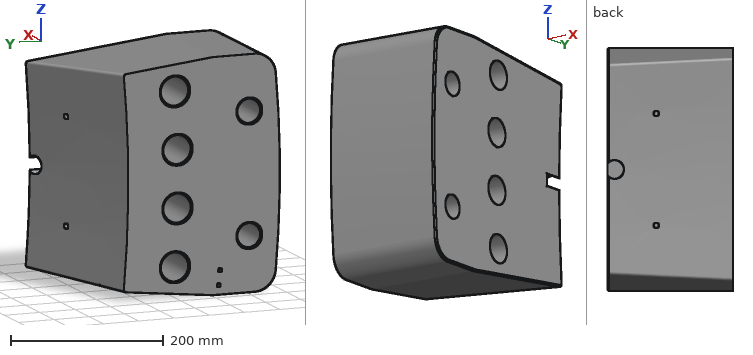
import cadquery as cq
import math

thickness = 165.0
height = 320.0
half_height = height / 2

front_radius = 1504.0
corner_radius = 30.0

bend_y = 95.5
taper_angle = 6.2
bend_radius = 36.8

back_y = 215.0
back_slope = 24.5
back_radius = 1792.0
back_edge_fillet = 3.5

edge_chamfer = 2.2
mouth_chamfer = 2.0

large_hole_diameter = 39.0
large_hole_pitch = 78.7
large_hole_inner_y = 145.3
large_hole_outer_y = 148.8
small_hole_diameter = 32.5
small_hole_spacing = 167.0
small_hole_y = 43.5

pin_diameter = 5.0
pin_depth = 9.5
pin_point_angle = 118.0
pin_places = [(84.8, -127.0), (86.7, -147.2)]

pocket_diameter = 24.5
pocket_depth = 25.5
pocket_x = 156.0
screw_hole_diameter = 7.0
screw_hole_depth = 16.0
screw_hole_spacing = 147.2
screw_hole_y = 262.7

slope = math.radians(back_slope)
slope_direction = cq.Vector(math.cos(slope), math.sin(slope), 0)
inward_direction = cq.Vector(math.sin(slope), -math.cos(slope), 0)


def arc_rise(radius, z):
    """How far an arc bulging towards -Y has moved to +Y at height z."""
    return radius - math.sqrt(radius**2 - z**2)


def back_face_x(y, z):
    """X of the hollow back face at a given Y and Z."""
    return (y - back_y - arc_rise(back_radius, z) / math.cos(slope)) / math.tan(slope)


def back_face_y(x):
    """Y of the back face on its centre line."""
    return back_y + x * math.tan(slope)


def edges_between(y_start, y_end):
    """Selects the edges whose centres lie between two Y positions."""
    return cq.selectors.BoxSelector((0, y_start, -height), (thickness, y_end, height))


def make_body():
    far_y = back_face_y(thickness) + corner_radius
    far_z = half_height - (far_y - bend_y) * math.tan(math.radians(taper_angle))
    front_corner_y = arc_rise(front_radius, half_height)
    block = (
        cq.Workplane("YZ")
        .moveTo(front_corner_y, -half_height)
        .threePointArc((0, 0), (front_corner_y, half_height))
        .lineTo(bend_y, half_height)
        .lineTo(far_y, far_z)
        .lineTo(far_y, -far_z)
        .lineTo(bend_y, -half_height)
        .close()
        .extrude(thickness)
    )
    block = block.edges("|X").edges(edges_between(0, bend_y / 2)).fillet(corner_radius)
    block = block.edges("|X").edges(edges_between(bend_y / 2, back_y)).fillet(bend_radius)

    axis_point = cq.Vector(0, back_y, 0) - inward_direction * back_radius
    start = axis_point - slope_direction * height
    hollow = cq.Solid.makeCylinder(back_radius, 2 * height, start, slope_direction)
    block = block.cut(cq.Workplane(obj=hollow))

    middle_y = back_face_y(thickness / 2)
    rim = cq.selectors.BoxSelector(
        (edge_chamfer, middle_y - corner_radius, -height),
        (thickness - edge_chamfer, middle_y + corner_radius, height),
    )
    block = block.edges(rim).fillet(back_edge_fillet)
    return block.faces(">X").edges().chamfer(edge_chamfer)


def through_hole(diameter, y, z):
    """Hole along X with a chamfered mouth on the -X face."""
    radius = diameter / 2
    bore = cq.Workplane("YZ").center(y, z).circle(radius).extrude(thickness)
    mouth = cq.Solid.makeCone(
        radius + mouth_chamfer, radius, mouth_chamfer, cq.Vector(0, y, z), cq.Vector(1, 0, 0)
    )
    return bore.union(cq.Workplane(obj=mouth))


def pin_hole(y, z):
    """Blind drilled hole in the -X face with a conical bottom."""
    radius = pin_diameter / 2
    point_length = radius / math.tan(math.radians(pin_point_angle / 2))
    return (
        cq.Workplane("XY", origin=(0, y, z))
        .polyline([(0, 0), (0, radius), (pin_depth, radius), (pin_depth + point_length, 0)])
        .close()
        .revolve(360, (0, 0, 0), (1, 0, 0))
    )


def back_hole(diameter, depth, x, y, z):
    """Blind hole along Y, sunk to a depth below a point on the back face."""
    bottom = cq.Vector(x, y - depth, z)
    hole = cq.Solid.makeCylinder(diameter / 2, 2 * depth, bottom, cq.Vector(0, 1, 0))
    return cq.Workplane(obj=hole)


def mirrored_heights(spacing):
    """Z positions of two features placed evenly about the mid-height."""
    return (-spacing / 2, spacing / 2)


result = make_body()

for z in mirrored_heights(large_hole_pitch):
    result = result.cut(through_hole(large_hole_diameter, large_hole_inner_y, z))
for z in mirrored_heights(3 * large_hole_pitch):
    result = result.cut(through_hole(large_hole_diameter, large_hole_outer_y, z))
for z in mirrored_heights(small_hole_spacing):
    result = result.cut(through_hole(small_hole_diameter, small_hole_y, z))

for z in mirrored_heights(screw_hole_spacing):
    screw_hole_x = back_face_x(screw_hole_y, z)
    result = result.cut(back_hole(screw_hole_diameter, screw_hole_depth, screw_hole_x, screw_hole_y, z))

for y, z in pin_places:
    result = result.cut(pin_hole(y, z))

result = result.cut(back_hole(pocket_diameter, pocket_depth, pocket_x, back_face_y(pocket_x), 0))